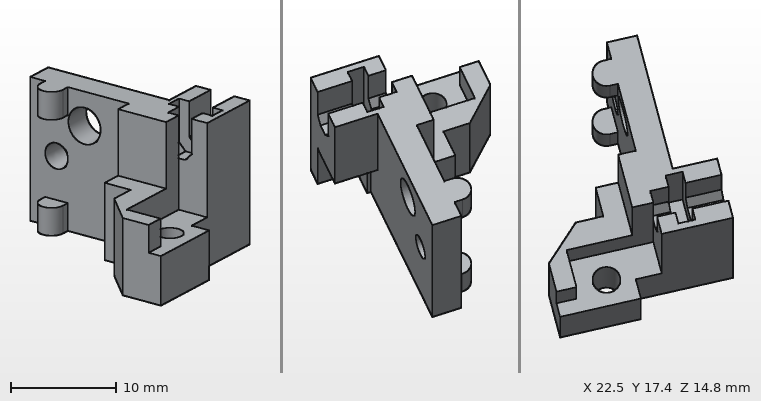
import cadquery as cq

length = 22.5
depth = 17.45
height = 14.8

plate_front = 10.12
plate_back = 13.1
pin_x = 3.08
pin_diameter = 2.65
pin_length = 2.88
pin_tip_y = 7.99
large_hole_x = 6.35
large_hole_z = 11.27
large_hole_diameter = 3.75
small_hole_front_diameter = 2.65
small_hole_back_diameter = 2.4

body_left = 11.52
body_right = 17.12
body_front = 8.4

foot_height = 7.96
foot_left = 14.55
foot_shoulder_y = 6.19
corner_size = 3.49
foot_back = 7.92
shelf_height = 5.1
lip_thickness = 1.95
lip_right = 21.05
screw_x = 19.85
screw_y = 5.2
screw_diameter = 2.65

rail_left = 14.15
rail_right = 20.45
rail_front = 10.46
channel_left = 15.88
channel_right = 18.63
channel_floor = 10.4
channel_chamfer = 0.76
slot_left = 14.7
slot_right = 19.78
slot_front = 12.26
slot_back = 13.93
slot_floor = 7.96

relief_height = 5.74
relief_deep_y = 13.48


def box(x0, x1, y0, y1, z0, z1):
    """Axis-aligned block between two opposite corners."""
    return cq.Workplane("XY").box(x1 - x0, y1 - y0, z1 - z0, centered=False).translate((x0, y0, z0))


def make_foot():
    outline = [
        (body_left, plate_back),
        (body_left, foot_shoulder_y),
        (foot_left, foot_shoulder_y),
        (foot_left, corner_size),
        (foot_left + corner_size, 0),
        (length, 0),
        (length, foot_back),
        (rail_right, foot_back),
        (rail_right, plate_back),
    ]
    foot = cq.Workplane("XY").polyline(outline).close().extrude(foot_height)
    foot = foot.cut(box(body_right, length, lip_thickness, rail_front, shelf_height, foot_height))
    foot = foot.cut(box(lip_right, length, 0, lip_thickness, shelf_height, foot_height))
    screw_hole = cq.Workplane("XY").center(screw_x, screw_y).circle(screw_diameter / 2).extrude(foot_height)
    return foot.cut(screw_hole)


def make_pin(bottom):
    """Round-nosed locating pin joined to the front of the plate."""
    radius = pin_diameter / 2
    center_y = pin_tip_y + radius
    nose = cq.Workplane("XY").center(pin_x, center_y).circle(radius).extrude(pin_length)
    nose = nose.translate((0, 0, bottom))
    neck = box(pin_x - radius, pin_x + radius, center_y, plate_back, bottom, bottom + pin_length)
    return nose.union(neck)


def make_channel():
    """Channel open at the top, with chamfered bottom corners."""
    chamfer_top = channel_floor + channel_chamfer
    profile = [
        (channel_left, height),
        (channel_left, chamfer_top),
        (channel_left + channel_chamfer, channel_floor),
        (channel_right - channel_chamfer, channel_floor),
        (channel_right, chamfer_top),
        (channel_right, height),
    ]
    channel = cq.Workplane("XZ", origin=(0, depth, 0)).polyline(profile).close()
    return channel.extrude(depth - rail_front)


def make_plate_holes():
    thickness = plate_back - plate_front
    front = cq.Workplane("XZ", origin=(0, plate_front, 0))
    large = front.center(large_hole_x, large_hole_z).circle(large_hole_diameter / 2).extrude(-thickness)
    small = front.center(pin_x, height / 2).circle(small_hole_front_diameter / 2)
    small = small.workplane(offset=-thickness).circle(small_hole_back_diameter / 2).loft()
    return large.union(small)


result = box(0, body_right, plate_front, plate_back, 0, height)
result = result.union(box(body_left, body_right, body_front, plate_back, 0, height))
result = result.union(box(rail_left, rail_right, rail_front, depth, 0, height))
result = result.union(make_foot())

for pin_bottom in (0, height - pin_length):
    result = result.union(make_pin(pin_bottom))

result = result.cut(make_plate_holes())
result = result.cut(make_channel())
result = result.cut(box(slot_left, slot_right, slot_front, slot_back, slot_floor, height))

result = result.cut(box(rail_left, channel_left, plate_back, depth, 0, relief_height))
result = result.cut(box(channel_left, channel_right, relief_deep_y, depth, 0, relief_height))